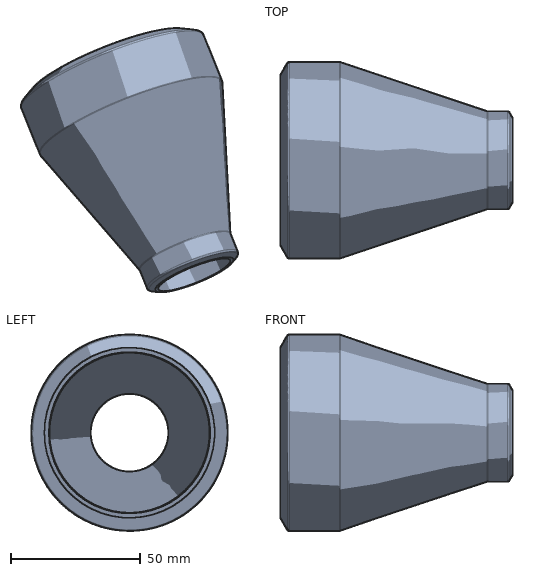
import cadquery as cq
import math

length = 90.0
large_outer_radius = 76.1 / 2
large_bore_radius = 61.9 / 2
small_outer_radius = 38.0 / 2
small_bore_radius = 30.0 / 2
cone_start = 23.0
cone_end = 80.1
bore_cone_start = 14.9
bevel_angle = math.radians(30)
large_land_radius = 32.9
small_land_radius = 16.3
edge_fillet = 1.0
bore_chamfer = 0.3

large_bevel_length = (large_outer_radius - large_land_radius) * math.tan(bevel_angle)
small_bevel_length = (small_outer_radius - small_land_radius) * math.tan(bevel_angle)
small_bevel_start = length - small_bevel_length

wall_section = [
    (0, large_bore_radius + bore_chamfer),
    (0, large_land_radius),
    (large_bevel_length, large_outer_radius),
    (cone_start, large_outer_radius),
    (cone_end, small_outer_radius),
    (small_bevel_start, small_outer_radius),
    (length, small_land_radius),
    (length, small_bore_radius),
    (cone_end, small_bore_radius),
    (bore_cone_start, large_bore_radius),
    (bore_chamfer, large_bore_radius),
]
reducer = cq.Workplane("XY").polyline(wall_section).close().revolve(360, (0, 0, 0), (1, 0, 0))


def circle_edge(x, radius):
    """Select the circular edge of the given radius in the plane at x."""
    margin = 0.2
    reach = radius + margin
    return cq.selectors.BoxSelector(
        (x - margin, -reach, -reach), (x + margin, reach, reach), boundingbox=True
    )


outer_transitions = [
    (large_bevel_length, large_outer_radius),
    (cone_start, large_outer_radius),
    (cone_end, small_outer_radius),
    (small_bevel_start, small_outer_radius),
]
for x, radius in outer_transitions:
    rounded_edge = circle_edge(x, radius)
    if x == cone_end:
        bore_edge = circle_edge(x, small_bore_radius)
        rounded_edge = rounded_edge - bore_edge
    reducer = reducer.edges(rounded_edge).fillet(edge_fillet)

result = reducer